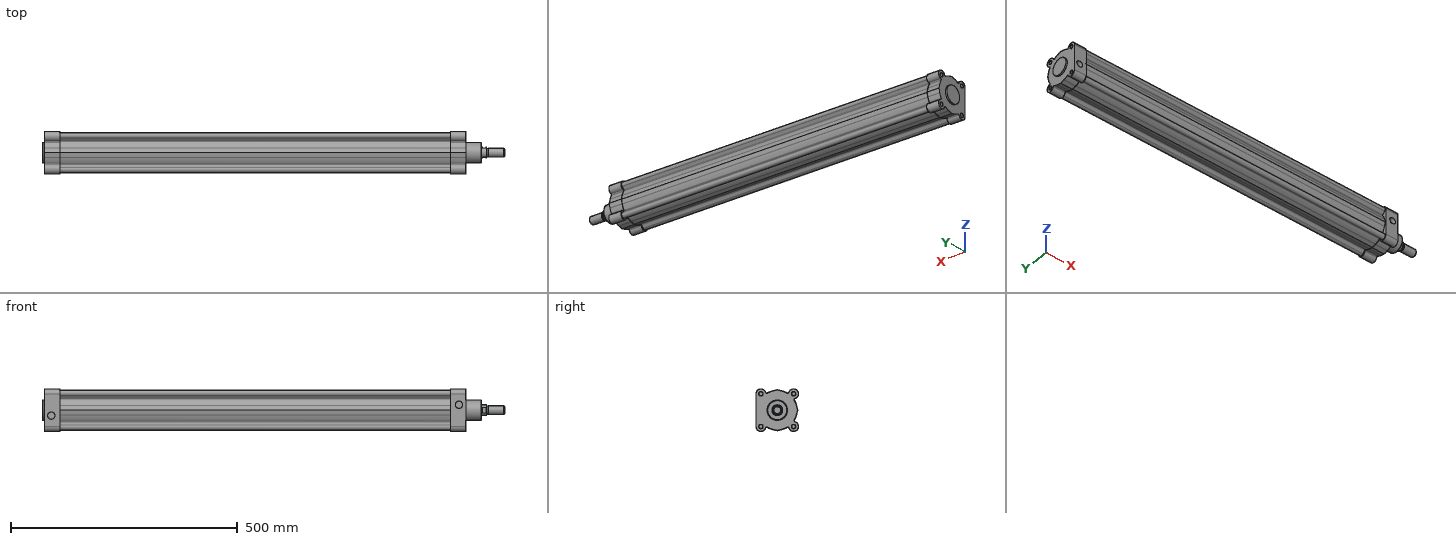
import cadquery as cq
import math

BODY_LENGTH = 928.0
CAP_LENGTH = 34.0
CAP_WIDTH = 94.0
CAP_RADIUS = 44.0
CAP_ROOT_FILLET = 2.0
TIE_SPACING = 72.0
RIDGE_ANGLE = 14.2

BARREL_WIDTH = 88.5
BARREL_NOSE_RADIUS = 7.0
BARREL_RADIUS = 43.0
BARREL_ROOT_FILLET = 1.2

TIE_HOLE_DIAMETER = 8.5
TIE_HOLE_CHAMFER = 0.75
TIE_HOLE_DEPTH = 16.0
PORT_DIAMETER = 16.0
PORT_DEPTH = 14.0
PORT_INSET = 15.0
PORT_OFFSET = 12.0

BOSS_DIAMETER = 45.0
REAR_BOSS_LENGTH = 4.0
FRONT_BOSS_LENGTH = 35.0
BOSS_CHAMFER = 1.5

ROD_DIAMETER = 24.0
ROD_SHOULDER = 46.0
RELIEF_DIAMETER = 18.5
RELIEF_LENGTH = 2.5
RELIEF_RUNOUT = 2.0
FLAT_LENGTH = 8.0
FLAT_SHOULDER = 1.0
FLAT_SPACING = 21.0
THREAD_DIAMETER = 20.0
THREAD_LENGTH = 40.0
THREAD_CHAMFER = 2.5

CAP_HALF = CAP_WIDTH / 2
TIE_HALF = TIE_SPACING / 2
CAP_LOBE_RADIUS = CAP_HALF - TIE_HALF
NOSE_CENTER = BARREL_WIDTH / 2 - BARREL_NOSE_RADIUS
BARREL_LENGTH = BODY_LENGTH - 2 * CAP_LENGTH
FRONT_CAP_START = BODY_LENGTH - CAP_LENGTH
BOSS_END = BODY_LENGTH + FRONT_BOSS_LENGTH
SHOULDER_X = BODY_LENGTH + ROD_SHOULDER
SIDE_ANGLES = (0, 90, 180, 270)
TIE_POINTS = [(y, z) for y in (-TIE_HALF, TIE_HALF) for z in (-TIE_HALF, TIE_HALF)]


def cross_section(x):
    """Plane across the cylinder axis, with local axes Y and Z."""
    return cq.Workplane("YZ", origin=(x, 0, 0))


def rod_section(x, diameter, length):
    """Round bar on the cylinder axis, starting at x."""
    return cross_section(x).circle(diameter / 2).extrude(length)


def ridged_core(x, radius, length):
    """Round core with a shallow ridge on each side, its flats tangent to the round."""
    tilt = math.radians(RIDGE_ANGLE)
    apex = radius / math.cos(tilt)
    tangent = (radius * math.cos(tilt), radius * math.sin(tilt))
    core = rod_section(x, 2 * radius, length)
    ridge = (
        cross_section(x)
        .polyline([(0, 0), (tangent[0], -tangent[1]), (apex, 0), tangent])
        .close()
        .extrude(length)
    )
    for angle in SIDE_ANGLES:
        core = core.union(ridge.rotate((0, 0, 0), (1, 0, 0), angle))
    return core


def fillet_roots(body, middle_x, along, aside, radius):
    """Fillet the eight lengthwise creases beside the 45 degree diagonals.

    Each crease lies `along` out on a diagonal and `aside` to one side of it.
    """
    near = (along - aside) / math.sqrt(2)
    far = (along + aside) / math.sqrt(2)
    for y_side in (-1, 1):
        for z_side in (-1, 1):
            for y, z in ((near, far), (far, near)):
                crease = cq.selectors.NearestToPointSelector((middle_x, y_side * y, z_side * z))
                body = body.edges(crease).fillet(radius)
    return body


def make_barrel():
    """Profile barrel with four diagonal ribs that end in rounded noses."""
    reach = math.hypot(NOSE_CENTER, NOSE_CENTER) + BARREL_NOSE_RADIUS
    rib = (
        cross_section(CAP_LENGTH)
        .slot2D(2 * reach, 2 * BARREL_NOSE_RADIUS)
        .extrude(BARREL_LENGTH)
    )
    barrel = ridged_core(CAP_LENGTH, BARREL_RADIUS, BARREL_LENGTH)
    for angle in (45, -45):
        barrel = barrel.union(rib.rotate((0, 0, 0), (1, 0, 0), angle))
    crease_along = math.sqrt(BARREL_RADIUS**2 - BARREL_NOSE_RADIUS**2)
    middle_x = CAP_LENGTH + BARREL_LENGTH / 2
    return fillet_roots(barrel, middle_x, crease_along, BARREL_NOSE_RADIUS, BARREL_ROOT_FILLET)


def make_cap(x, outer_face_x, inward, port_z):
    """Cap block with four lobes, tie holes in the outer face and a port in the -Y face."""
    lobe_distance = math.hypot(TIE_HALF, TIE_HALF)
    crease_along = (lobe_distance**2 + CAP_RADIUS**2 - CAP_LOBE_RADIUS**2) / (2 * lobe_distance)
    crease_aside = math.sqrt(CAP_RADIUS**2 - crease_along**2)
    lobes = cross_section(x).pushPoints(TIE_POINTS).circle(CAP_LOBE_RADIUS).extrude(CAP_LENGTH)
    lobed_core = ridged_core(x, CAP_RADIUS, CAP_LENGTH).union(lobes)
    lobed_core = fillet_roots(lobed_core, x + CAP_LENGTH / 2, crease_along, crease_aside, CAP_ROOT_FILLET)
    port_plate = (
        cross_section(x)
        .center(-CAP_HALF / 2, 0)
        .rect(CAP_HALF, TIE_SPACING)
        .extrude(CAP_LENGTH)
    )
    mouth_radius = TIE_HOLE_DIAMETER / 2 + TIE_HOLE_CHAMFER
    tie_hole = (
        cq.Workplane("XY")
        .polyline([
            (0, 0),
            (0, mouth_radius),
            (TIE_HOLE_CHAMFER, TIE_HOLE_DIAMETER / 2),
            (TIE_HOLE_DEPTH, TIE_HOLE_DIAMETER / 2),
            (TIE_HOLE_DEPTH, 0),
        ])
        .close()
        .revolve(360, (0, 0), (1, 0))
    )
    if inward < 0:
        tie_hole = tie_hole.mirror("YZ")
    port = (
        cq.Workplane("XZ", origin=(outer_face_x + inward * PORT_INSET, -CAP_HALF, port_z))
        .circle(PORT_DIAMETER / 2)
        .extrude(-PORT_DEPTH)
    )
    cap = lobed_core.union(port_plate).cut(port)
    for y, z in TIE_POINTS:
        cap = cap.cut(tie_hole.translate((outer_face_x, y, z)))
    return cap


def make_rear_cap():
    """Rear cap with its short centering boss."""
    cap = make_cap(0, 0, 1, -PORT_OFFSET)
    return cap.union(rod_section(-REAR_BOSS_LENGTH, BOSS_DIAMETER, REAR_BOSS_LENGTH))


def make_front_cap():
    """Front cap with its long guide boss, bored through for the rod."""
    cap = make_cap(FRONT_CAP_START, BODY_LENGTH, -1, PORT_OFFSET)
    boss = rod_section(BODY_LENGTH, BOSS_DIAMETER, FRONT_BOSS_LENGTH).faces(">X").chamfer(BOSS_CHAMFER)
    rod_bore = rod_section(FRONT_CAP_START, ROD_DIAMETER, BOSS_END - FRONT_CAP_START)
    return cap.union(boss).cut(rod_bore)


def make_rod():
    """Piston rod from the barrel face to the thread tip, with two wrench flats."""
    shank = rod_section(FRONT_CAP_START, ROD_DIAMETER, SHOULDER_X - FRONT_CAP_START)
    flat_center_x = SHOULDER_X - FLAT_SHOULDER - FLAT_LENGTH / 2
    for side in (-1, 1):
        flat_cut = cq.Workplane("XY").box(FLAT_LENGTH, ROD_DIAMETER, ROD_DIAMETER).translate(
            (flat_center_x, side * (FLAT_SPACING + ROD_DIAMETER) / 2, 0)
        )
        shank = shank.cut(flat_cut)
    tip_x = SHOULDER_X + THREAD_LENGTH
    thread_start_x = SHOULDER_X + RELIEF_LENGTH + RELIEF_RUNOUT
    threaded_end = (
        cq.Workplane("XY")
        .polyline([
            (SHOULDER_X, 0),
            (SHOULDER_X, RELIEF_DIAMETER / 2),
            (SHOULDER_X + RELIEF_LENGTH, RELIEF_DIAMETER / 2),
            (thread_start_x, THREAD_DIAMETER / 2),
            (tip_x - THREAD_CHAMFER, THREAD_DIAMETER / 2),
            (tip_x, THREAD_DIAMETER / 2 - THREAD_CHAMFER),
            (tip_x, 0),
        ])
        .close()
        .revolve(360, (0, 0), (1, 0))
    )
    return shank.union(threaded_end)


barrel = make_barrel()
rear_cap = make_rear_cap()
front_cap = make_front_cap()
rod = make_rod()

bodies = [body.solids().val() for body in (barrel, rear_cap, front_cap, rod)]
result = cq.Compound.makeCompound(bodies)